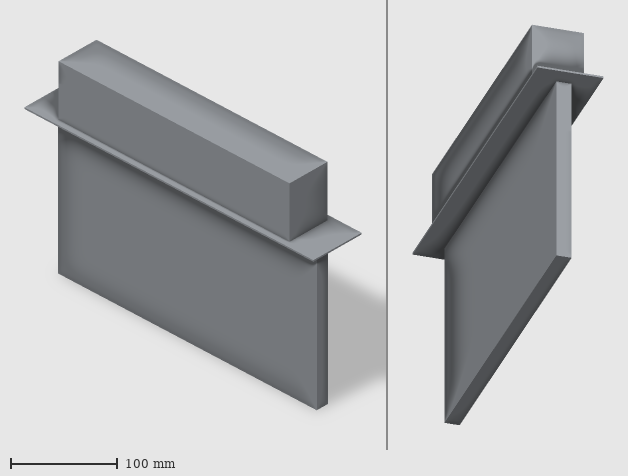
import cadquery as cq

total_height = 254.0

flange_length = 375.5
flange_width = 65.0
flange_thickness = 2.0

housing_length = 300.0
housing_width = 51.0
housing_height = 65.5

blade_length = 336.0
blade_thickness = 15.0
blade_height = total_height - flange_thickness - housing_height


def centred_block(length, width, height, bottom):
    """Block centred on the Z axis, rising from the given bottom level."""
    return (
        cq.Workplane("XY")
        .workplane(offset=bottom)
        .rect(length, width)
        .extrude(height)
    )


flange = centred_block(flange_length, flange_width, flange_thickness, 0)
housing = centred_block(housing_length, housing_width, housing_height, flange_thickness)
blade = centred_block(blade_length, blade_thickness, blade_height, -blade_height)

result = flange.union(housing).union(blade)